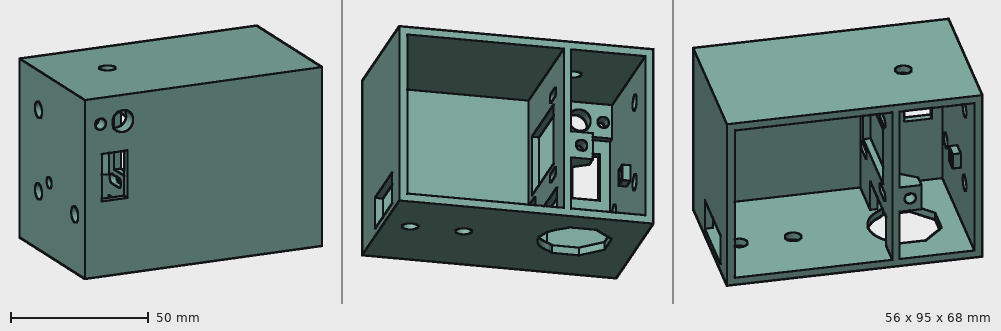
import cadquery as cq
import math

length_x = 56.0
length_y = 95.0
height_z = 68.0
wall = 3.0
partition_front_y = 30.75
partition_thickness = 2.75

inner_x = length_x - wall
inner_z = height_z - 2 * wall
partition_back_y = partition_front_y + partition_thickness

insert_hole_diameter = 4.2
access_hole_diameter = 6.0

screw_pitch = 31.0
first_screw_x = 16.3
first_screw_z = 22.1
screw_slot_width = 3.6
screw_slot_length = 9.6
motor_window_left_x = 15.4
motor_window_half_height = 11.5
motor_center_x = first_screw_x + screw_pitch / 2
motor_center_z = first_screw_z + screw_pitch / 2
motor_window_width = 2 * (motor_center_x - motor_window_left_x)
screw_positions = [
    (first_screw_x, first_screw_z),
    (first_screw_x + screw_pitch, first_screw_z),
    (first_screw_x, first_screw_z + screw_pitch),
]

passage_left_x = 10.6
passage_width = 26.0
passage_height = 12.0

boss_width = 8.1
boss_height = 10.2
boss_short_length = 5.5
boss_long_length = 11.0
boss_center_z = 28.0
boss_hole_offset = 3.9
boss_hole_depth = 6.0

pad_size = 6.0
pad_depth = 3.0
pad_center_x = 25.4

panel_width = 20.5
panel_height = 13.1
panel_depth = 3.0
panel_hole_z = 58.0
jack_hole_diameter = 8.3
jack_hole_y = 15.2
small_panel_hole_y = 6.3

side_window_y = 6.8
side_window_z = 28.6
side_window_width = 10.3
side_window_height = 18.0

vertical_hole_x = 24.0
roof_hole_y = 24.0
floor_hole_ys = (65.0, 85.0)
floor_opening_radius = 13.0
opening_shoulder_y = 4.7
opening_shoulder_depth = 2.0


def box(x, y, z, size_x, size_y, size_z):
    """Box with its minimum corner at (x, y, z)."""
    return cq.Workplane("XY").box(size_x, size_y, size_z, centered=False).translate((x, y, z))


def rod(start, direction, diameter, depth):
    """Cylinder that runs from a start point along a direction."""
    return cq.Workplane(cq.Solid.makeCylinder(diameter / 2, depth, cq.Vector(*start), cq.Vector(*direction)))


def make_shell():
    """Outer box with the two compartments left on either side of the partition."""
    shell = box(0, 0, 0, length_x, length_y, height_z)
    shell = shell.cut(box(0, wall, wall, inner_x, partition_front_y - wall, inner_z))
    back_depth = length_y - wall - partition_back_y
    return shell.cut(box(0, partition_back_y, wall, inner_x, back_depth, inner_z))


def add_cover_boss(body):
    """Boss with a sloped inner end and a blind screw hole."""
    outline = [
        (0, partition_front_y),
        (0, partition_front_y - boss_width),
        (boss_short_length, partition_front_y - boss_width),
        (boss_long_length, partition_front_y),
    ]
    boss = cq.Workplane("XY").polyline(outline).close().extrude(boss_height)
    boss = boss.translate((0, 0, boss_center_z - boss_height / 2))
    hole_start = (0, partition_front_y - boss_hole_offset, boss_center_z)
    return body.union(boss).cut(rod(hole_start, (1, 0, 0), insert_hole_diameter, boss_hole_depth))


def add_screw_pad(body):
    """Square pad behind the -Y wall, with a hole through pad and wall."""
    pad = box(pad_center_x - pad_size / 2, wall, boss_center_z - pad_size / 2, pad_size, pad_depth, pad_size)
    hole_start = (pad_center_x, 0, boss_center_z)
    return body.union(pad).cut(rod(hole_start, (0, 1, 0), insert_hole_diameter, wall + pad_depth))


def add_side_panel(body):
    """Thickened corner of the +X wall, with two holes through it."""
    panel_x = inner_x - panel_depth
    panel_z = height_z - wall - panel_height
    body = body.union(box(panel_x, wall, panel_z, panel_depth, panel_width, panel_height))
    for y, diameter in ((jack_hole_y, jack_hole_diameter), (small_panel_hole_y, insert_hole_diameter)):
        body = body.cut(rod((panel_x, y, panel_hole_z), (1, 0, 0), diameter, panel_depth + wall))
    return body


def cut_side_window(body):
    """Rectangular window through the +X wall."""
    return body.cut(box(inner_x, side_window_y, side_window_z, wall, side_window_width, side_window_height))


def cut_motor_mount(body):
    """Motor window and screw slots in the partition, access holes in the -Y wall."""
    body = body.cut(box(
        motor_window_left_x, partition_front_y, motor_center_z - motor_window_half_height,
        motor_window_width, partition_thickness, 2 * motor_window_half_height,
    ))
    for x, z in screw_positions:
        slot = cq.Workplane("XZ").slot2D(screw_slot_length, screw_slot_width).extrude(-partition_thickness)
        body = body.cut(slot.translate((x, partition_front_y, z)))
        body = body.cut(rod((x, 0, z), (0, 1, 0), access_hole_diameter, wall))
    return body


def cut_cable_passage(body):
    """Floor-level openings through the partition and the +Y wall."""
    for y, depth in ((partition_front_y, partition_thickness), (length_y - wall, wall)):
        body = body.cut(box(passage_left_x, y, wall, passage_width, depth, passage_height))
    return body


def cut_vertical_holes(body):
    """Round holes through the roof and the floor."""
    body = body.cut(rod((vertical_hole_x, roof_hole_y, height_z - wall), (0, 0, 1), access_hole_diameter, wall))
    for y in floor_hole_ys:
        body = body.cut(rod((vertical_hole_x, y, 0), (0, 0, 1), access_hole_diameter, wall))
    return body


def cut_floor_opening(body):
    """Round floor opening whose -Y part is widened to tangent octagon sides.

    At the +Y end of that part, 45 degree shoulders lead back inside the circle.
    """
    radius = floor_opening_radius
    half_side = radius * math.tan(math.pi / 8)
    shoulder_x = radius - opening_shoulder_depth
    shoulder_y = opening_shoulder_y + opening_shoulder_depth
    octagon_part = [
        (-shoulder_x, shoulder_y),
        (-radius, opening_shoulder_y),
        (-radius, -half_side),
        (-half_side, -radius),
        (half_side, -radius),
        (radius, -half_side),
        (radius, opening_shoulder_y),
        (shoulder_x, shoulder_y),
    ]
    opening = cq.Workplane("XY").circle(radius).extrude(wall)
    opening = opening.union(cq.Workplane("XY").polyline(octagon_part).close().extrude(wall))
    return body.cut(opening.translate((vertical_hole_x, roof_hole_y, 0)))


result = make_shell()
result = add_cover_boss(result)
result = add_screw_pad(result)
result = add_side_panel(result)
result = cut_side_window(result)
result = cut_motor_mount(result)
result = cut_cable_passage(result)
result = cut_vertical_holes(result)
result = cut_floor_opening(result)